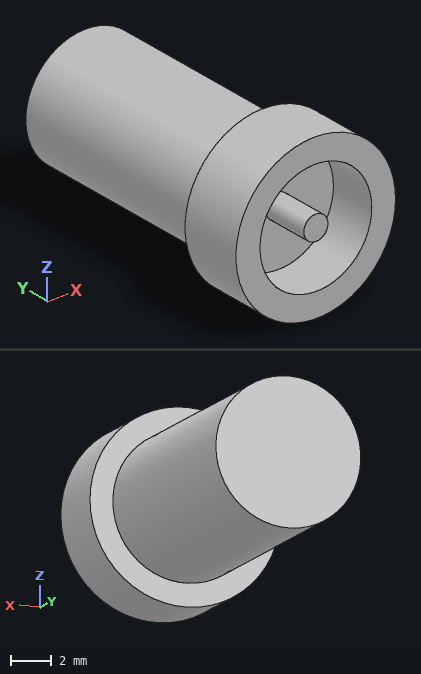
import cadquery as cq

total_length = 18.0
head_diameter = 10.0
head_length = 4.0
shank_diameter = 7.61
bore_diameter = 7.0
bore_depth = 3.0
pin_diameter = 1.51

head_face_y = -total_length / 2


def cylinder_from_head_face(diameter, length):
    """Cylinder on the Y axis, running in +Y from the open face of the head."""
    face_plane = cq.Workplane("XZ", origin=(0, head_face_y, 0))
    return face_plane.circle(diameter / 2).extrude(-length)


head = cylinder_from_head_face(head_diameter, head_length)
shank = cylinder_from_head_face(shank_diameter, total_length)

bore = cylinder_from_head_face(bore_diameter, bore_depth)
pin = cylinder_from_head_face(pin_diameter, total_length)

result = head.union(shank).cut(bore).union(pin)